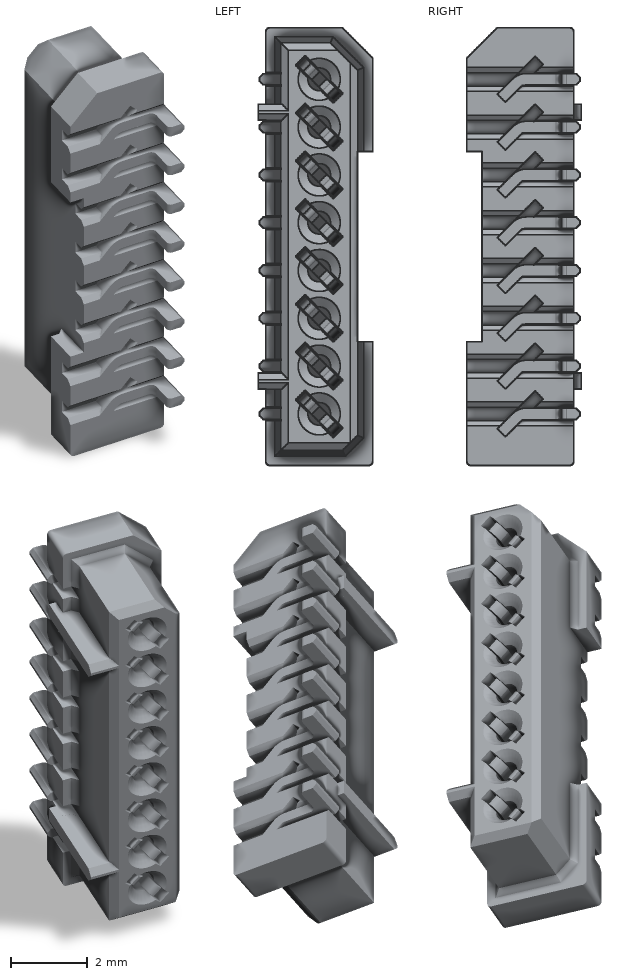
import cadquery as cq
import math

LENGTH = 11.45
MID_Z = LENGTH / 2
DEPTH = 3.39
EDGE_OFFSET = 0.01

CONTACT_COUNT = 8
ROW_SPAN = 8.75
PITCH = ROW_SPAN / (CONTACT_COUNT - 1)
CONTACT_ZS = [MID_Z - ROW_SPAN / 2 + i * PITCH for i in range(CONTACT_COUNT)]

FLANGE_WIDTH = 2.8
FLANGE_START = 2.35
FLANGE_BEVEL = 0.8
FLANGE_ROUND = 0.11
RECESS_LENGTH = 4.97
AXIS_Y = FLANGE_WIDTH / 2

BODY_WIDTH = 2.0
BODY_LENGTH = 10.65
BODY_BEVEL = 0.71
BODY_LOW_BEVEL = 0.39
NOSE_CHAMFER = 0.2
SKIRT_HEIGHT = 0.16
BODY_LOW_Y = AXIS_Y - BODY_WIDTH / 2
BODY_HIGH_Y = AXIS_Y + BODY_WIDTH / 2

RIB_TOP_Y = 3.0
RIB_THICKNESS = 0.42
RIB_LENGTH = 2.8
RIB_CHAMFER = 0.17
RIB_FROM_MIDDLE = 3.52

FUNNEL_RADIUS = 0.55
BORE_RADIUS = 0.3
FUNNEL_DEPTH = 0.25
BORE_DEPTH = 2.0
SLOT_HEIGHT = 0.35
TAIL_SLOT_START = 2.93
TAIL_SLOT_CHAMFER = 0.14

SHEET = 0.3
BLADE_WIDTH = 1.4
FORK_GAP = 0.26
TIP_X = 0.07
TIP_RADIUS = 0.18
TIP_ARC_ANGLE = math.radians(54)
TIP_OFFSET = 0.41
TIP_LAND = 0.03
SHOULDER_X = 1.09
SHOULDER_LAND = 0.03
BEND_RADIUS = 0.21
TAIL_START = 3.0
TAIL_END = 4.2
TAIL_LOW_Y = 2.48
TAIL_TOP_Y = 2.97
TAIL_ROUND = 0.11
TAIL_ROOT_ROUND = 0.15
TAIL_CHAMFER = 0.1

SIN45 = math.sqrt(0.5)


def box(x_range, y_range, z_range):
    """Box between two limits on each axis."""
    (x0, x1), (y0, y1), (z0, z1) = x_range, y_range, z_range
    return cq.Workplane("XY").box(x1 - x0, y1 - y0, z1 - z0, centered=False).translate((x0, y0, z0))


def blade_plane(z, x=0.0):
    """Plane of a contact blade: local x along X, local y along +Y+Z."""
    return cq.Plane(origin=(x, AXIS_Y, z), xDir=(1, 0, 0), normal=(0, -1, 1))


def body_outline(x, grow):
    """Body cross-section at X = x, with every side moved outward by `grow`."""
    y0 = BODY_LOW_Y - grow
    y1 = BODY_HIGH_Y + grow
    z0 = MID_Z - BODY_LENGTH / 2 - grow
    z1 = MID_Z + BODY_LENGTH / 2 + grow
    leg_growth = grow * (2 - math.sqrt(2))
    top = BODY_BEVEL + leg_growth
    low = BODY_LOW_BEVEL + leg_growth
    points = [(y1, z0), (y1, z1), (y0 + top, z1), (y0, z1 - top), (y0, z0 + low), (y0 + low, z0)]
    return cq.Workplane("YZ", origin=(x, 0, 0)).polyline(points).close()


def make_flange():
    outline = [
        (0, 0),
        (FLANGE_WIDTH, 0),
        (FLANGE_WIDTH, LENGTH),
        (FLANGE_BEVEL, LENGTH),
        (0, LENGTH - FLANGE_BEVEL),
    ]
    flange = (
        cq.Workplane("YZ", origin=(FLANGE_START, 0, 0))
        .polyline(outline)
        .close()
        .extrude(DEPTH - FLANGE_START)
    )
    return flange.edges("|X and (<Z or >Y)").fillet(FLANGE_ROUND)


def make_nose_envelope():
    """Block chamfered on its four front edges; it trims the front of the body."""
    z_margin = (LENGTH - BODY_LENGTH) / 2
    block = box((0, DEPTH), (BODY_LOW_Y, BODY_HIGH_Y), (z_margin, LENGTH - z_margin))
    return block.faces("<X").chamfer(NOSE_CHAMFER)


def make_skirt():
    """Sloped step where the body meets the flange."""
    start = FLANGE_START - SKIRT_HEIGHT
    front = body_outline(start, 0).wire().val()
    back = body_outline(FLANGE_START, SKIRT_HEIGHT).wire().val()
    return cq.Workplane(cq.Solid.makeLoft([front, back], True))


def make_rib(z):
    half = RIB_THICKNESS / 2
    rib = box((0, RIB_LENGTH), (BODY_HIGH_Y - NOSE_CHAMFER, RIB_TOP_Y), (z - half, z + half))
    return rib.edges("<X and |Y").chamfer(RIB_CHAMFER)


def make_flange_recess():
    """Gap in the -Y side of the flange, down to the body side face."""
    half = RECESS_LENGTH / 2
    return box(
        (FLANGE_START - SKIRT_HEIGHT, DEPTH + EDGE_OFFSET),
        (-EDGE_OFFSET, BODY_LOW_Y),
        (MID_Z - half, MID_Z + half),
    )


def make_funnel(z):
    """Conical lead-in followed by a blind bore."""
    profile = [
        (0, 0),
        (0, FUNNEL_RADIUS),
        (FUNNEL_DEPTH, BORE_RADIUS),
        (BORE_DEPTH, BORE_RADIUS),
        (BORE_DEPTH, 0),
    ]
    return (
        cq.Workplane("XY", origin=(0, AXIS_Y, z))
        .polyline(profile)
        .close()
        .revolve(360, (0, 0, 0), (1, 0, 0))
    )


def make_blade_slot(z):
    """Slanted slot: clear of the fork arms in front, close on the sheet and its bend behind the bore."""
    clear_part = cq.Workplane(blade_plane(z, BORE_DEPTH / 2)).box(BORE_DEPTH, BLADE_WIDTH, SLOT_HEIGHT)
    close_part = cq.Workplane(blade_plane(z, DEPTH / 2)).box(DEPTH, BLADE_WIDTH, SHEET)
    return clear_part.union(close_part).union(make_bend(z))


def make_tail_slot(z):
    """Slot across the rear face with a flared mouth, and a relief through the +Y side of the flange."""
    half = SLOT_HEIGHT / 2
    flare = half + TAIL_SLOT_CHAMFER
    flare_start = DEPTH - TAIL_SLOT_CHAMFER
    profile = [
        (TAIL_SLOT_START, z - half),
        (flare_start, z - half),
        (DEPTH, z - flare),
        (DEPTH, z + flare),
        (flare_start, z + half),
        (TAIL_SLOT_START, z + half),
    ]
    across = cq.Workplane("XZ").polyline(profile).close().extrude(-FLANGE_WIDTH)
    relief = box(
        (FLANGE_START - SKIRT_HEIGHT, DEPTH),
        (BODY_HIGH_Y, FLANGE_WIDTH),
        (z - half, z + half),
    )
    return across.union(relief)


def make_housing():
    body = body_outline(0, 0).extrude(DEPTH).intersect(make_nose_envelope())
    housing = body.union(make_skirt()).union(make_flange()).cut(make_flange_recess())
    for z in CONTACT_ZS:
        housing = housing.cut(make_funnel(z)).cut(make_blade_slot(z)).cut(make_tail_slot(z))
    for side in (-1, 1):
        housing = housing.union(make_rib(MID_Z + side * RIB_FROM_MIDDLE))
    return housing


def make_fork(z):
    """Flat fork blade; behind TAIL_START only the half below the bend continues."""
    half = BLADE_WIDTH / 2
    gap = FORK_GAP / 2
    arc_end = (
        TIP_X + TIP_RADIUS * (1 - math.cos(TIP_ARC_ANGLE)),
        TIP_OFFSET - TIP_RADIUS * math.sin(TIP_ARC_ANGLE),
    )
    arc_mid = (
        TIP_X + TIP_RADIUS * (1 - math.cos(TIP_ARC_ANGLE / 2)),
        TIP_OFFSET - TIP_RADIUS * math.sin(TIP_ARC_ANGLE / 2),
    )
    gap_mouth_x = arc_end[0] + (arc_end[1] - gap) * math.tan(TIP_ARC_ANGLE)
    bend_line = -(math.sqrt(2) - 1) * (BEND_RADIUS + SHEET / 2)
    return (
        cq.Workplane(blade_plane(z))
        .moveTo(BORE_DEPTH, gap)
        .lineTo(gap_mouth_x, gap)
        .lineTo(*arc_end)
        .threePointArc(arc_mid, (TIP_X, TIP_OFFSET))
        .lineTo(TIP_X, TIP_OFFSET + TIP_LAND)
        .lineTo(SHOULDER_X, half - SHOULDER_LAND)
        .lineTo(SHOULDER_X, half)
        .lineTo(TAIL_START, half)
        .lineTo(TAIL_START, bend_line)
        .lineTo(DEPTH, bend_line)
        .lineTo(DEPTH, -half)
        .lineTo(SHOULDER_X, -half)
        .lineTo(SHOULDER_X, SHOULDER_LAND - half)
        .lineTo(TIP_X, -TIP_OFFSET - TIP_LAND)
        .lineTo(TIP_X, -TIP_OFFSET)
        .threePointArc((arc_mid[0], -arc_mid[1]), (arc_end[0], -arc_end[1]))
        .lineTo(gap_mouth_x, -gap)
        .lineTo(BORE_DEPTH, -gap)
        .close()
        .extrude(SHEET / 2, both=True)
    )


def bend_center(z):
    """Bend axis (y, z) that makes the slanted and level sheet mid-planes meet on the contact axis."""
    mid_radius = BEND_RADIUS + SHEET / 2
    return AXIS_Y + mid_radius * math.tan(math.pi / 8), z - mid_radius


def make_bend(z):
    """Eighth turn that levels the slanted blade into the tail."""
    center_y, center_z = bend_center(z)

    def on_arc(radius, angle):
        return center_y - radius * math.sin(angle), center_z + radius * math.cos(angle)

    outer = BEND_RADIUS + SHEET
    return (
        cq.Workplane("YZ", origin=(TAIL_START, 0, 0))
        .moveTo(*on_arc(BEND_RADIUS, 0))
        .lineTo(*on_arc(outer, 0))
        .threePointArc(on_arc(outer, math.pi / 8), on_arc(outer, math.pi / 4))
        .lineTo(*on_arc(BEND_RADIUS, math.pi / 4))
        .threePointArc(on_arc(BEND_RADIUS, math.pi / 8), on_arc(BEND_RADIUS, 0))
        .close()
        .extrude(DEPTH - TAIL_START)
    )


def make_tail(z):
    """Level solder tail with a rounded corner and a chamfered +Y edge."""
    bend_end_y = bend_center(z)[0]
    inset = TAIL_ROUND * (1 - SIN45)
    root_inset = TAIL_ROOT_ROUND * (1 - SIN45)
    root_end_x = DEPTH + TAIL_ROOT_ROUND
    tail = (
        cq.Workplane("XY", origin=(0, 0, z - SHEET / 2))
        .moveTo(TAIL_START, bend_end_y)
        .lineTo(DEPTH, bend_end_y)
        .lineTo(DEPTH, TAIL_LOW_Y - TAIL_ROOT_ROUND)
        .threePointArc((DEPTH + root_inset, TAIL_LOW_Y - root_inset), (root_end_x, TAIL_LOW_Y))
        .lineTo(TAIL_END - TAIL_ROUND, TAIL_LOW_Y)
        .threePointArc((TAIL_END - inset, TAIL_LOW_Y + inset), (TAIL_END, TAIL_LOW_Y + TAIL_ROUND))
        .lineTo(TAIL_END, TAIL_TOP_Y)
        .lineTo(TAIL_START, TAIL_TOP_Y)
        .close()
        .extrude(SHEET)
    )
    return tail.edges(">Y and |X").chamfer(TAIL_CHAMFER)


def make_contact(z):
    return make_fork(z).union(make_bend(z)).union(make_tail(z))


housing = make_housing()
contacts = [make_contact(z) for z in CONTACT_ZS]
result = cq.Compound.makeCompound([housing.val(), *[contact.val() for contact in contacts]])